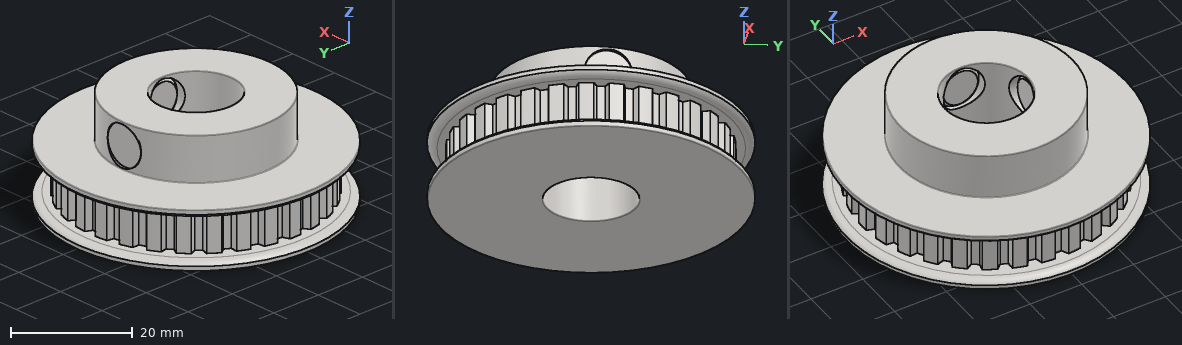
import cadquery as cq
import math

flange_diameter = 54.0
total_height = 19.85
flange_thickness = 1.75
rim_height = 0.85
lead_in_width = 1.6
rim_section_height = 11.2

hub_diameter = 33.35
bore_diameter = 15.85

tooth_count = 30
tip_diameter = 47.75
groove_depth = 1.3
groove_floor_width = 1.35
groove_flank_angle = 25.0

screw_diameter = 8.0
screw_inner_distance = 8.1
screw_length = 8.0
screw_tip_chamfer = 0.65
screw_height = 15.4
screw_angles = (0, 90)

edge_fillet = 0.1

flange_radius = flange_diameter / 2
tip_radius = tip_diameter / 2
hub_radius = hub_diameter / 2


def flange():
    """Disc at Z = 0 whose upper edge is an arc that runs tangent into the top face."""
    lead_in_height = flange_thickness - rim_height
    arc_radius = (lead_in_width**2 + lead_in_height**2) / (2 * lead_in_height)
    flat_radius = flange_radius - lead_in_width
    half_sweep = math.asin(lead_in_width / arc_radius) / 2
    arc_middle = (
        flat_radius + arc_radius * math.sin(half_sweep),
        flange_thickness - arc_radius * (1 - math.cos(half_sweep)),
    )
    return (
        cq.Workplane("XZ")
        .lineTo(flange_radius, 0)
        .lineTo(flange_radius, rim_height)
        .threePointArc(arc_middle, (flat_radius, flange_thickness))
        .lineTo(0, flange_thickness)
        .close()
        .revolve(360, (0, 0, 0), (0, 1, 0))
    )


def toothed_ring():
    """Cylinder with straight-sided grooves, the first one facing -Y."""
    margin = 0.55
    floor_radius = tip_radius - groove_depth
    cutter_depth = groove_depth + margin
    floor_half = groove_floor_width / 2
    mouth_half = floor_half + cutter_depth * math.tan(math.radians(groove_flank_angle))
    cutter = (
        cq.Workplane("XY")
        .polyline([
            (-floor_half, -floor_radius),
            (floor_half, -floor_radius),
            (mouth_half, -floor_radius - cutter_depth),
            (-mouth_half, -floor_radius - cutter_depth),
        ])
        .close()
        .extrude(rim_section_height)
    )
    ring = cq.Workplane("XY").circle(tip_radius).extrude(rim_section_height)
    for i in range(tooth_count):
        ring = ring.cut(cutter.rotate((0, 0, 0), (0, 0, 1), i * 360 / tooth_count))
    return ring


def radial_cylinder(start, length):
    """Screw-sized cylinder along +X at the screw height, beginning at X = start."""
    return (
        cq.Workplane("YZ", origin=(start, 0, screw_height))
        .circle(screw_diameter / 2)
        .extrude(length)
    )


lower_flange = flange().faces("<Z").edges().fillet(edge_fillet)
upper_flange = lower_flange.mirror("XY").translate((0, 0, rim_section_height))
hub = cq.Workplane("XY").circle(hub_radius).extrude(total_height)
bore = cq.Workplane("XY").circle(bore_diameter / 2).extrude(total_height)

result = toothed_ring().union(lower_flange).union(upper_flange).union(hub)

flange_top = cq.selectors.BoxSelector(
    (-flange_radius, -flange_radius, rim_section_height - edge_fillet / 2),
    (flange_radius, flange_radius, rim_section_height + edge_fillet / 2),
    boundingbox=True,
)
result = result.edges(flange_top).edges(cq.selectors.RadiusNthSelector(0)).fillet(edge_fillet)
result = result.cut(bore)
result = result.faces(">Z").edges().fillet(edge_fillet)
result = result.faces("<Z").edges(cq.selectors.RadiusNthSelector(0)).fillet(edge_fillet)

hole = radial_cylinder(0, hub_radius)
screw = radial_cylinder(screw_inner_distance, screw_length).faces("<X").chamfer(screw_tip_chamfer)
for angle in screw_angles:
    result = result.cut(hole.rotate((0, 0, 0), (0, 0, 1), angle))
    result = result.union(screw.rotate((0, 0, 0), (0, 0, 1), angle))